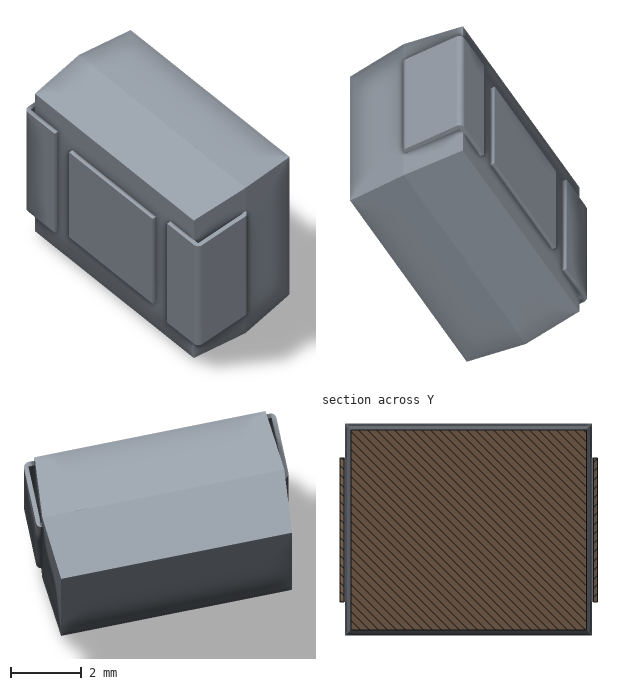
import cadquery as cq

total_width = 7.3
total_height = 6.0
total_depth = 3.8

metal_thickness = 0.13
bend_radius = 0.16
terminal_height = 4.09
foot_length = 1.285
tab_embed = 0.04
pick_margin = 0.01
pad_size = 3.505

case_width = 7.0
taper_inset = 0.16
mount_y = -total_depth / 2
case_face_y = mount_y + metal_thickness
case_back_y = total_depth / 2
parting_y = (case_face_y + case_back_y) / 2


def rectangle_wire(width, height, y):
    """Centred rectangle in the plane at the given Y."""
    corners = [
        cq.Vector(-width / 2, y, -height / 2),
        cq.Vector(width / 2, y, -height / 2),
        cq.Vector(width / 2, y, height / 2),
        cq.Vector(-width / 2, y, height / 2),
    ]
    return cq.Wire.makePolygon(corners, close=True)


def make_case_half(face_y):
    """Half of the case, tapering from the parting plane to its flat face."""
    parting_outline = rectangle_wire(case_width, total_height, parting_y)
    face_outline = rectangle_wire(
        case_width - 2 * taper_inset, total_height - 2 * taper_inset, face_y
    )
    return cq.Workplane(cq.Solid.makeLoft([parting_outline, face_outline], True))


def make_pad():
    """Square metal pad on the mounting face of the case."""
    return cq.Workplane().box(pad_size, metal_thickness, pad_size).translate(
        (0, mount_y + metal_thickness / 2, 0)
    )


def make_terminal(side):
    """Bent strip: short tab at the parting plane, upright leg and foot.

    side is -1 for the left terminal and 1 for the right one.
    """
    outer_x = side * total_width / 2
    inner_x = outer_x - side * metal_thickness
    tab_end_x = side * (case_width / 2 - tab_embed)
    foot_end_x = outer_x - side * foot_length
    strip = (
        cq.Workplane("XY", origin=(0, 0, -terminal_height / 2))
        .moveTo(tab_end_x, parting_y)
        .lineTo(outer_x, parting_y)
        .lineTo(outer_x, mount_y)
        .lineTo(foot_end_x, mount_y)
        .lineTo(foot_end_x, case_face_y)
        .lineTo(inner_x, case_face_y)
        .lineTo(inner_x, parting_y - metal_thickness)
        .lineTo(tab_end_x, parting_y - metal_thickness)
        .close()
        .extrude(terminal_height)
    )
    outer_bends = cq.selectors.BoxSelector(
        (outer_x - pick_margin, mount_y - pick_margin, -total_height),
        (outer_x + pick_margin, parting_y + pick_margin, total_height),
    )
    return strip.edges("|Z").edges(outer_bends).fillet(bend_radius)


terminals = [make_terminal(side) for side in (-1, 1)]
back_case = make_case_half(case_back_y)
front_case = make_case_half(case_face_y)
for terminal in terminals:
    front_case = front_case.cut(terminal)
pad = make_pad()

result = cq.Compound.makeCompound(
    [back_case.val(), front_case.val(), pad.val(), *[terminal.val() for terminal in terminals]]
)